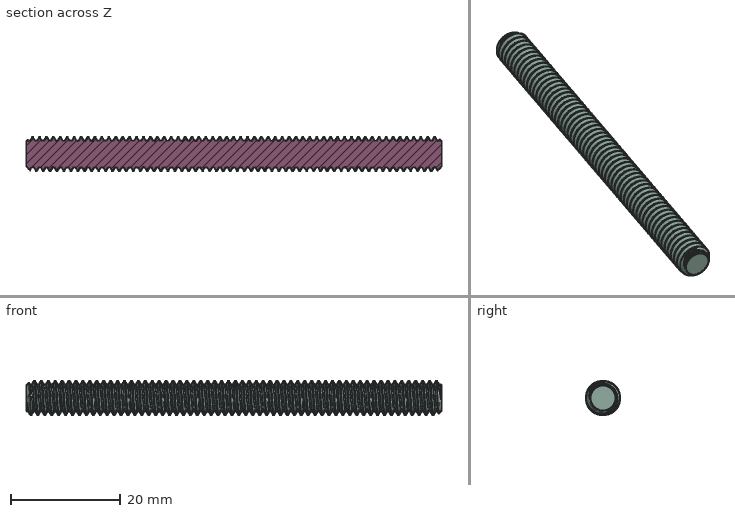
import cadquery as cq
import math

LENGTH = 76.2
MAJOR_DIAMETER = 6.3
TURNS = 60
END_FACE_DIAMETER = 4.6
CHAMFER_ANGLE = 45.0
FIRST_CREST = 1.2

PITCH = LENGTH / TURNS
CREST_FLAT = PITCH / 8
ROOT_FLAT = PITCH / 4
FLANK_ANGLE = 30.0
FLANK_RUN = (PITCH - CREST_FLAT - ROOT_FLAT) / 2
THREAD_DEPTH = FLANK_RUN / math.tan(math.radians(FLANK_ANGLE))
MAJOR_RADIUS = MAJOR_DIAMETER / 2
MINOR_RADIUS = MAJOR_RADIUS - THREAD_DEPTH

SEGMENTS = 12
SEGMENT_TURNS = TURNS // SEGMENTS
SEGMENT_LENGTH = LENGTH / SEGMENTS
FLANK_STEPS = 8

CREST_CLEARANCE = 0.1
END_FACE_RADIUS = END_FACE_DIAMETER / 2
BLANK_RADIUS = MAJOR_RADIUS + CREST_CLEARANCE
CHAMFER_LENGTH = (BLANK_RADIUS - END_FACE_RADIUS) / math.tan(math.radians(CHAMFER_ANGLE))


def polar(radius, angle):
    return (radius * math.cos(angle), radius * math.sin(angle))


def flank_points():
    """Points from crest to root: a straight flank cut square to the axis is an Archimedean spiral."""
    crest_half_angle = math.pi * CREST_FLAT / PITCH
    flank_span = 2 * math.pi * FLANK_RUN / PITCH
    shares = [step / FLANK_STEPS for step in range(FLANK_STEPS + 1)]
    return [
        polar(MAJOR_RADIUS - share * THREAD_DEPTH, crest_half_angle + share * flank_span)
        for share in shares
    ]


def thread_section():
    """Section square to the axis at the -X end, where axial widths appear as angles."""
    falling = flank_points()
    rising = [(y, -z) for y, z in reversed(falling)]
    return (
        cq.Workplane("YZ")
        .moveTo(*rising[-1])
        .threePointArc((MAJOR_RADIUS, 0), falling[0])
        .spline(falling[1:], includeCurrent=True)
        .threePointArc((-MINOR_RADIUS, 0), rising[0])
        .spline(rising[1:], includeCurrent=True)
        .close()
    )


def threaded_segment():
    segment = thread_section().twistExtrude(SEGMENT_LENGTH, 360 * SEGMENT_TURNS)
    return segment.rotate((0, 0, 0), (1, 0, 0), -360 * FIRST_CREST / PITCH)


def chamfered_blank():
    outline = [
        (0, 0),
        (0, END_FACE_RADIUS),
        (CHAMFER_LENGTH, BLANK_RADIUS),
        (LENGTH - CHAMFER_LENGTH, BLANK_RADIUS),
        (LENGTH, END_FACE_RADIUS),
        (LENGTH, 0),
    ]
    return cq.Workplane("XY").polyline(outline).close().revolve(360, (0, 0, 0), (1, 0, 0))


def threaded_rod():
    """Join the segments through their outer faces, leaving out the flat faces where they meet."""
    segment = threaded_segment()
    blank = chamfered_blank()
    first = segment.intersect(blank, clean=False)
    last = segment.translate((LENGTH - SEGMENT_LENGTH, 0, 0)).intersect(blank, clean=False)

    skin = first.faces("not >X").vals() + last.faces("not <X").vals()
    for index in range(1, SEGMENTS - 1):
        middle = segment.translate((index * SEGMENT_LENGTH, 0, 0))
        skin += middle.faces("not |X").vals()
    return cq.Solid.makeSolid(cq.Shell.makeShell(skin))


result = cq.Workplane(threaded_rod())